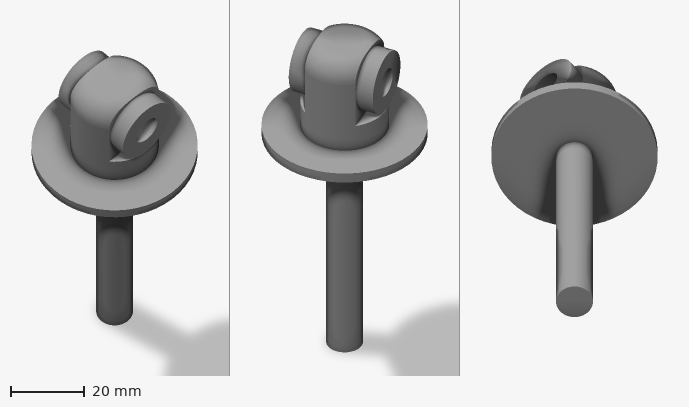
import cadquery as cq

stem_diameter = 10.0
stem_length = 70.0
flange_diameter = 45.0
flange_thickness = 3.0

head_diameter = 24.0
head_height = 28.0
head_edge_radius = 6.0
base_height = 8.0
flats_width = 15.0

boss_diameter = 18.0
boss_span = 25.0
bore_diameter = 8.0
eye_drop = 10.0
eye_height = head_height - eye_drop


def cross_cylinder(diameter, length):
    """Cylinder along X, centred on the Z axis at the height of the eye."""
    return (
        cq.Workplane("YZ", origin=(-length / 2, 0, eye_height))
        .circle(diameter / 2)
        .extrude(length)
    )


def make_stem_and_flange():
    flange = cq.Workplane("XY").circle(flange_diameter / 2).extrude(-flange_thickness)
    return flange.faces("<Z").workplane().circle(stem_diameter / 2).extrude(stem_length)


def make_head():
    head = (
        cq.Workplane("XY")
        .circle(head_diameter / 2)
        .extrude(head_height)
        .faces(">Z")
        .edges()
        .fillet(head_edge_radius)
    )
    base = cq.Workplane("XY").circle(head_diameter / 2).extrude(base_height)
    slab = cq.Workplane("XY").box(
        flats_width, head_diameter, head_height, centered=(True, True, False)
    )
    return head.intersect(slab).union(base)


body = make_stem_and_flange().union(make_head())
eye = cross_cylinder(boss_diameter, boss_span)
bore = cross_cylinder(bore_diameter, boss_span)
result = body.union(eye).cut(bore)